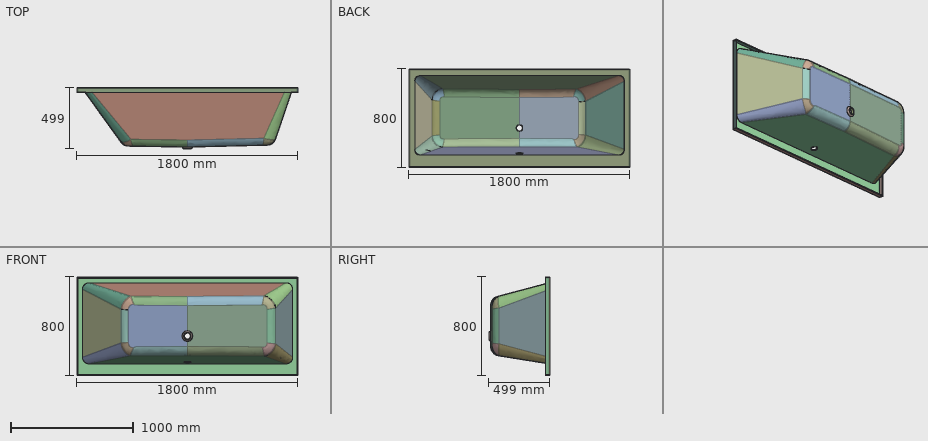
import cadquery as cq

LENGTH = 1800
WIDTH = 800.0
LIP_DEPTH = 38.0
WALL = 9.0
RIM_ROUND = 7.0

HEAD_X = -855.0
FOOT_X = 857.0
UPPER_Z = 355.0
LOWER_Z = -306
MOUTH_CORNER = 54

HEAD_SLOPE = 0.72
FOOT_SLOPE = 0.34
UPPER_SLOPE = 0.265
LOWER_SLOPE = 0.16

LOW_DEPTH = 485.0
HEAD_FLOOR_DEPTH = 470.0
FOOT_FLOOR_DEPTH = 463.0
FLOOR_CORNER = 108
FLOOR_ROUND = 77.0
LOFT_DEPTH = 504

TOTAL_DEPTH = 499.0
DRAIN_Z = -80.0
DRAIN_BASE_DIAMETER = 86.0
DRAIN_TIP_DIAMETER = 61.0
DRAIN_HOLE_DIAMETER = 49.0

OVERFLOW_DIAMETER = 54
OVERFLOW_DEPTH = 90

TOLERANCE = 0.2


def plane_at_depth(depth):
    """Work plane across the bowl, facing away from the rim (-Y)."""
    return cq.Workplane("XZ", origin=(0, -depth, 0))


def bowl_section(depth, corner, inset):
    """Rounded rectangle cut through the bowl at a depth, moved in by inset on all sides."""
    run = depth - WALL
    left = HEAD_X + HEAD_SLOPE * run + inset
    right = FOOT_X - FOOT_SLOPE * run - inset
    upper = UPPER_Z - UPPER_SLOPE * run - inset
    lower = LOWER_Z + LOWER_SLOPE * run + inset
    outline = cq.Sketch().rect(right - left, upper - lower).vertices().fillet(corner - inset)
    center = cq.Vector((left + right) / 2, (upper + lower) / 2, depth)
    return outline.moved(cq.Location(center))


def space_above_floor(inset):
    """Block on the rim side of the two-slope floor."""
    half_length = LENGTH / 2
    return (
        cq.Workplane("XY")
        .moveTo(-half_length, LENGTH)
        .lineTo(-half_length, inset - HEAD_FLOOR_DEPTH)
        .lineTo(0, inset - LOW_DEPTH)
        .lineTo(half_length, inset - FOOT_FLOOR_DEPTH)
        .lineTo(half_length, LENGTH)
        .close()
        .extrude(WIDTH / 2, both=True)
    )


def is_floor_border(edge):
    """True for edges around the floor, but not for the cross line at its lowest place."""
    box = edge.BoundingBox()
    on_floor = box.ymax < -LOW_DEPTH / 2
    on_cross_line = box.xlen < TOLERANCE and abs(box.center.x) < TOLERANCE
    return on_floor and not on_cross_line


def bowl(start_depth, inset):
    """Tapered bowl with a rounded floor border; inset 0 is the outside, WALL the cavity."""
    walls = (
        cq.Workplane("XZ")
        .placeSketch(
            bowl_section(start_depth, MOUTH_CORNER, inset),
            bowl_section(LOFT_DEPTH, FLOOR_CORNER, inset),
        )
        .loft(ruled=True)
    )
    body = walls.intersect(space_above_floor(inset))
    floor_border = [edge for edge in body.edges().vals() if is_floor_border(edge)]
    return body.newObject(floor_border).fillet(FLOOR_ROUND - inset)


def rim():
    """Rounded plate, hollow underneath so that a lip is left around it."""
    plate = (
        plane_at_depth(0)
        .rect(LENGTH, WIDTH)
        .extrude(LIP_DEPTH)
        .edges("|Y")
        .fillet(RIM_ROUND)
        .faces(">Y")
        .edges()
        .fillet(RIM_ROUND)
    )
    hollow = plane_at_depth(WALL).rect(LENGTH - 2 * WALL, WIDTH - 2 * WALL).extrude(LIP_DEPTH)
    return plate.cut(hollow)


def drain_outlet():
    """Cone below the floor, with a plain root that joins it to the floor."""
    base = plane_at_depth(LOW_DEPTH).center(0, DRAIN_Z).circle(DRAIN_BASE_DIAMETER / 2)
    cone = base.workplane(offset=TOTAL_DEPTH - LOW_DEPTH).circle(DRAIN_TIP_DIAMETER / 2).loft()
    root = (
        plane_at_depth(LOW_DEPTH - WALL)
        .center(0, DRAIN_Z)
        .circle(DRAIN_BASE_DIAMETER / 2)
        .extrude(WALL)
    )
    return cone.union(root)


def drain_hole():
    return plane_at_depth(0).center(0, DRAIN_Z).circle(DRAIN_HOLE_DIAMETER / 2).extrude(TOTAL_DEPTH)


def overflow_hole():
    """Round hole along Z through the lower wall only."""
    return (
        cq.Workplane("XY", origin=(0, -OVERFLOW_DEPTH, 0))
        .circle(OVERFLOW_DIAMETER / 2)
        .extrude(-WIDTH / 2)
    )


outside = bowl(WALL / 2, 0)
cavity = bowl(-WALL, WALL)

result = (
    rim()
    .union(outside)
    .union(drain_outlet())
    .cut(cavity)
    .cut(drain_hole())
    .cut(overflow_hole())
    .solids()
)